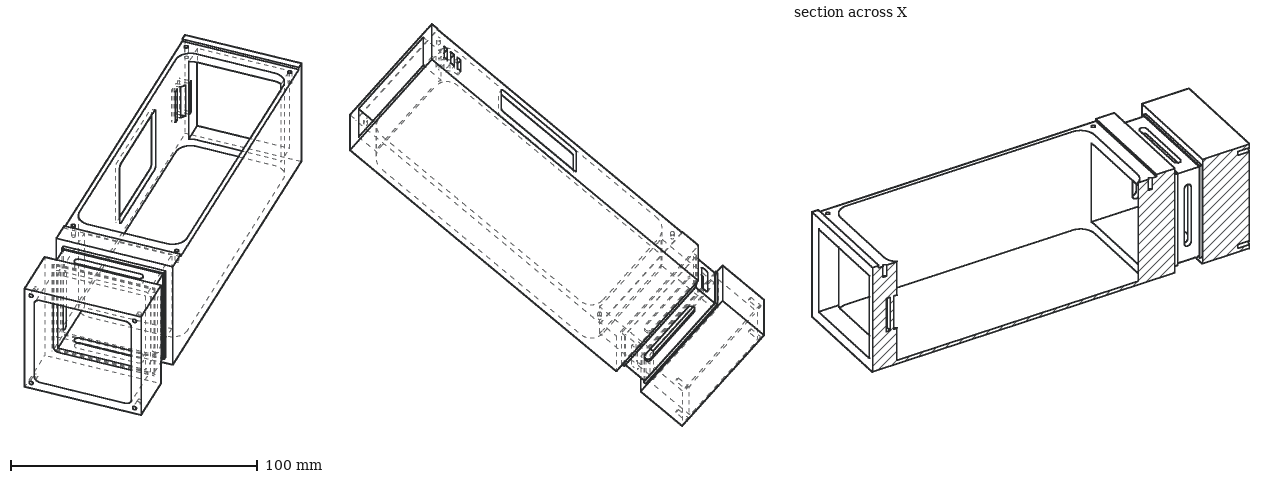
import cadquery as cq

LENGTH = 178.0
SIDE = 50.7
HALF_SIDE = SIDE / 2
FRONT_Y = -LENGTH / 2
REAR_Y = LENGTH / 2

HOUSING_LENGTH = 142.8
HEAD_LENGTH = 22.2
HOUSING_FRONT_Y = REAR_Y - HOUSING_LENGTH
HEAD_REAR_Y = FRONT_Y + HEAD_LENGTH
NECK_MID_Y = (HOUSING_FRONT_Y + HEAD_REAR_Y) / 2

NECK_SIDE = 43.5
COLLAR_SIDE = 44.5
REAR_COLLAR_LENGTH = 1.6
FRONT_COLLAR_LENGTH = 1.0
NECK_SLOT_LENGTH = 29.7
NECK_SLOT_WIDTH = 3.2

BORE_SIDE = 38.1
REAR_OPENING_SIDE = 40.0
POCKET_SIDE = 42.4
POCKET_DEPTH = 21.0
POCKET_CORNER_RADIUS = 2.7

SEAT_DEPTH = 1.0
SEAT_REAR_MARGIN = 3.0
SEAT_LENGTH = 131.0
SEAT_REAR_Y = REAR_Y - SEAT_REAR_MARGIN
SEAT_MID_Y = SEAT_REAR_Y - SEAT_LENGTH / 2
SEAT_Z = HALF_SIDE - SEAT_DEPTH

WALL = 2.0
CAVITY_LENGTH = 119.6
CAVITY_REAR_MARGIN = 8.7
CAVITY_WIDTH = SIDE - 2 * WALL
CAVITY_MID_Y = REAR_Y - CAVITY_REAR_MARGIN - CAVITY_LENGTH / 2
CAVITY_CORNER_RADIUS = 6.4

SCREW_DIAMETER = 1.6
SCREW_DEPTH = 5.3
SCREW_INSET = 2.8

WINDOW_LENGTH = 40.2
WINDOW_HEIGHT = 30.6
WINDOW_REAR_MARGIN = 37.2
WINDOW_MID_Y = REAR_Y - WINDOW_REAR_MARGIN - WINDOW_LENGTH / 2
WINDOW_CORNER_RADIUS = 1.8
VENT_COUNT = 3
VENT_WIDTH = 1.8
VENT_HEIGHT = 15.8
VENT_PITCH = 3.5
FIRST_VENT_OFFSET = 7.5


def square_bar(side, front_y, rear_y):
    """Square bar centred on the Y axis between two stations."""
    length = rear_y - front_y
    return cq.Workplane("XY").box(side, length, side).translate((0, front_y + length / 2, 0))


def outer_body():
    """Housing, neck, collars and head as one stepped square bar."""
    return (
        square_bar(SIDE, HOUSING_FRONT_Y, REAR_Y)
        .union(square_bar(NECK_SIDE, HEAD_REAR_Y, HOUSING_FRONT_Y))
        .union(square_bar(COLLAR_SIDE, HOUSING_FRONT_Y - REAR_COLLAR_LENGTH, HOUSING_FRONT_Y))
        .union(square_bar(COLLAR_SIDE, HEAD_REAR_Y, HEAD_REAR_Y + FRONT_COLLAR_LENGTH))
        .union(square_bar(SIDE, FRONT_Y, HEAD_REAR_Y))
    )


def bore_and_pocket():
    """Through bore, the wider rear opening and the rounded pocket in the head."""
    pocket = square_bar(POCKET_SIDE, FRONT_Y, FRONT_Y + POCKET_DEPTH).edges("|Y").fillet(POCKET_CORNER_RADIUS)
    rear_opening = square_bar(REAR_OPENING_SIDE, CAVITY_MID_Y, REAR_Y)
    return square_bar(BORE_SIDE, FRONT_Y, REAR_Y).union(rear_opening).union(pocket)


def lid_seat():
    """Shallow recess across the housing top."""
    return cq.Workplane("XY").box(SIDE, SEAT_LENGTH, SEAT_DEPTH).translate(
        (0, SEAT_MID_Y, HALF_SIDE - SEAT_DEPTH / 2)
    )


def cavity():
    """Deep rounded cavity from the top down to the housing floor."""
    return (
        cq.Workplane("XY", origin=(0, CAVITY_MID_Y, WALL - HALF_SIDE))
        .rect(CAVITY_WIDTH, CAVITY_LENGTH)
        .extrude(SIDE - WALL)
        .edges("|Z")
        .fillet(CAVITY_CORNER_RADIUS)
    )


def corner_holes(plane, length, width):
    """Four blind holes, inset from the corners of a rectangle, drilled against the plane's normal."""
    return (
        cq.Workplane(plane)
        .rect(length - 2 * SCREW_INSET, width - 2 * SCREW_INSET, forConstruction=True)
        .vertices()
        .circle(SCREW_DIAMETER / 2)
        .extrude(-SCREW_DEPTH)
    )


def screw_holes():
    """Holes for the lid and for the cover on the head."""
    seat_plane = cq.Plane(origin=(0, SEAT_MID_Y, SEAT_Z), xDir=(1, 0, 0), normal=(0, 0, 1))
    head_plane = cq.Plane(origin=(0, FRONT_Y, 0), xDir=(1, 0, 0), normal=(0, -1, 0))
    return corner_holes(seat_plane, SIDE, SEAT_LENGTH).union(corner_holes(head_plane, SIDE, SIDE))


def neck_slots():
    """Slots through all four neck walls."""
    vertical = (
        cq.Workplane("XY", origin=(0, NECK_MID_Y, 0))
        .slot2D(NECK_SLOT_LENGTH, NECK_SLOT_WIDTH)
        .extrude(HALF_SIDE, both=True)
    )
    sideways = vertical.rotate((0, 0, 0), (0, 1, 0), 90)
    return vertical.union(sideways)


def side_window():
    """Rounded window through the -X wall."""
    return (
        cq.Workplane("YZ", origin=(-HALF_SIDE, WINDOW_MID_Y, 0))
        .rect(WINDOW_LENGTH, WINDOW_HEIGHT)
        .extrude(HALF_SIDE)
        .edges("|X")
        .fillet(WINDOW_CORNER_RADIUS)
    )


def side_vents():
    """Row of upright vents through the -X wall, near the rear end."""
    centers = [(REAR_Y - FIRST_VENT_OFFSET - i * VENT_PITCH, 0) for i in range(VENT_COUNT)]
    return (
        cq.Workplane("YZ", origin=(-HALF_SIDE, 0, 0))
        .pushPoints(centers)
        .rect(VENT_WIDTH, VENT_HEIGHT)
        .extrude(HALF_SIDE)
    )


result = outer_body()
for cutter in (
    bore_and_pocket(),
    lid_seat(),
    cavity(),
    screw_holes(),
    neck_slots(),
    side_window(),
    side_vents(),
):
    result = result.cut(cutter)